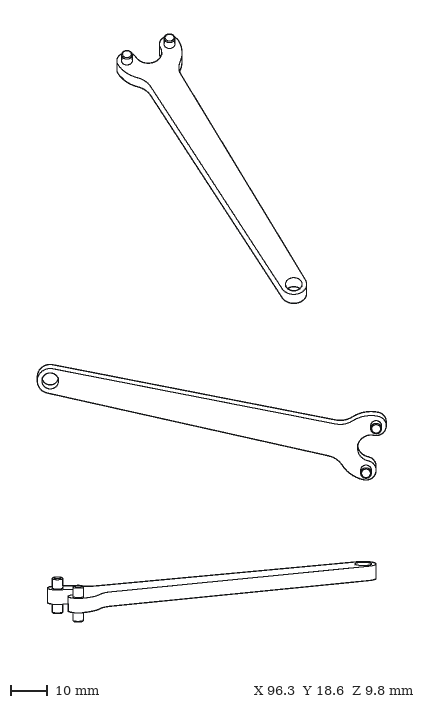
import cadquery as cq
import math

total_length = 96.3
fork_width = 18.6
handle_thickness = 4.0

pin_spacing = 13.0
fork_radius = fork_width / 2
tip_radius = (fork_width - pin_spacing) / 2
notch_radius = pin_spacing / 2 - tip_radius
neck_radius = 6.1

end_radius = 3.6
taper_angle = math.radians(0.8)
end_x = total_length - tip_radius - end_radius
hanging_hole_diameter = 4.5

pin_diameter = 3.0
pin_length = 9.8
pin_chamfer = 0.3

pin_centers = [(0, -pin_spacing / 2), (0, pin_spacing / 2)]


def mirrored(point):
    """Reflect a point across the long axis of the handle."""
    return (point[0], -point[1])


def shank_edge_points():
    """Points where the neck blend meets the fork arc, the shank edge, and where that edge ends."""
    normal = (math.sin(taper_angle), math.cos(taper_angle))
    along = (normal[1], -normal[0])
    edge_offset = end_x * normal[0] + end_radius

    center_offset = edge_offset + neck_radius
    center_distance = fork_radius + neck_radius
    reach = math.sqrt(center_distance**2 - center_offset**2)
    center = tuple(center_offset * n + reach * a for n, a in zip(normal, along))

    neck_start = tuple(c * fork_radius / center_distance for c in center)
    neck_end = tuple(c - neck_radius * n for c, n in zip(center, normal))
    shank_end = (end_x + end_radius * normal[0], end_radius * normal[1])

    chord_middle = [(s + e) / 2 - c for s, e, c in zip(neck_start, neck_end, center)]
    stretch = neck_radius / math.hypot(*chord_middle)
    neck_middle = tuple(c + stretch * m for c, m in zip(center, chord_middle))
    return neck_start, neck_middle, neck_end, shank_end


def make_handle():
    """Flat forked handle with a pin hole in each tip and a hanging hole at the far end."""
    neck_start, neck_middle, neck_end, shank_end = shank_edge_points()
    half_fork_angle = (math.pi / 2 + math.atan2(neck_start[1], neck_start[0])) / 2
    fork_middle = (fork_radius * math.cos(half_fork_angle), fork_radius * math.sin(half_fork_angle))
    fork_top = (0, fork_radius)
    notch_top = (0, notch_radius)
    tip_middle = (-tip_radius, pin_spacing / 2)

    body = (
        cq.Workplane("XY")
        .moveTo(*fork_top)
        .threePointArc(fork_middle, neck_start)
        .threePointArc(neck_middle, neck_end)
        .lineTo(*shank_end)
        .threePointArc((end_x + end_radius, 0), mirrored(shank_end))
        .lineTo(*mirrored(neck_end))
        .threePointArc(mirrored(neck_middle), mirrored(neck_start))
        .threePointArc(mirrored(fork_middle), mirrored(fork_top))
        .threePointArc(mirrored(tip_middle), mirrored(notch_top))
        .threePointArc((notch_radius, 0), notch_top)
        .threePointArc(tip_middle, fork_top)
        .close()
        .extrude(handle_thickness / 2, both=True)
    )
    pin_holes = cq.Workplane("XY").pushPoints(pin_centers).circle(pin_diameter / 2)
    hanging_hole = cq.Workplane("XY").center(end_x, 0).circle(hanging_hole_diameter / 2)
    for holes in (pin_holes, hanging_hole):
        body = body.cut(holes.extrude(handle_thickness, both=True))
    return body


def make_pin(center):
    """Round pin with both ends chamfered, standing out equally above and below the handle."""
    return (
        cq.Workplane("XY")
        .center(*center)
        .circle(pin_diameter / 2)
        .extrude(pin_length / 2, both=True)
        .faces("|Z")
        .chamfer(pin_chamfer)
    )


handle = make_handle()
pins = [make_pin(center) for center in pin_centers]

result = cq.Compound.makeCompound([handle.val(), *[pin.val() for pin in pins]])